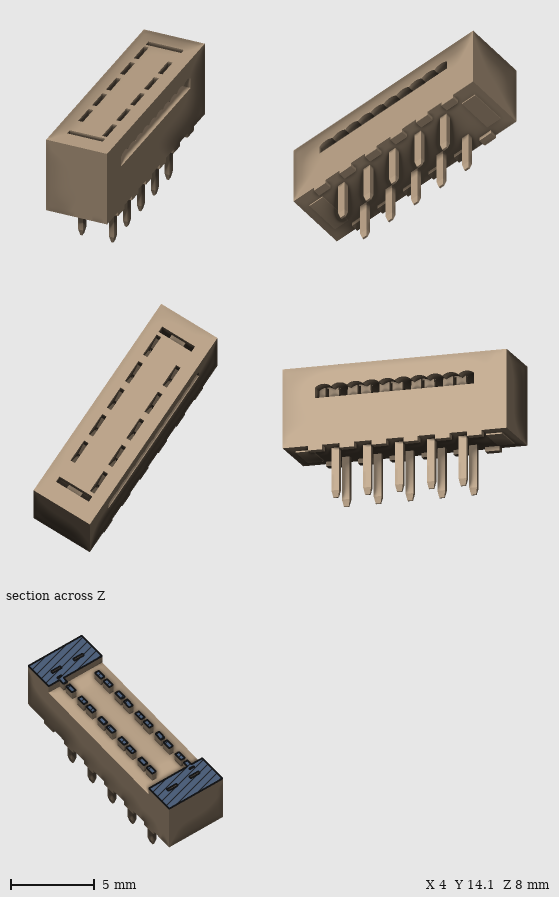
import cadquery as cq

overall_height = 8.0
body_thickness = 4.0
body_length = 14.1
body_height = 4.92

wire_pitch = 1.0
wire_count = 10
pins_per_row = wire_count // 2
pin_pitch = 2 * wire_pitch
row_offset = 1.02

window_floor = body_height - 1.97
window_crown = body_height - 1.13
arch_rise = 0.18
window_length = wire_count * wire_pitch

contact_thickness = 0.31
slot_length = 1.51
tine_gap = 0.21
tine_tip_half_width = 0.66
tine_tip_height = body_height - 0.42
lead_in_depth = 0.4

pin_width = 0.5
pin_thickness = contact_thickness
pin_length = overall_height - body_height
tip_length = 0.42
tip_width = 0.31
tip_thickness = 0.13

foot_width = 0.9
foot_depth = 0.5
foot_height = 0.28
foot_count = pins_per_row + 1

latch_width = 2 * row_offset + contact_thickness
latch_slot_length = 0.4
latch_slot_center = 5.67
latch_crown_width = 0.97
latch_crown_height = body_height - 0.42
latch_ramp_height = 1.5
latch_slot_floor = latch_crown_height - latch_ramp_height
latch_pad_outer = 6.5
latch_pad_height = 0.08


def centered_positions(count, pitch):
    """Places of evenly spaced items, centred on zero."""
    return [(i - (count - 1) / 2) * pitch for i in range(count)]


def box(size_x, size_y, z_low, z_high, x=0, y=0):
    """Upright block centred on (x, y) between two heights."""
    block = cq.Workplane("XY").box(size_x, size_y, z_high - z_low, centered=(True, True, False))
    return block.translate((x, y, z_low))


def contact_plate(outline, x):
    """Contact-thick plate with its closed YZ outline, centred at x."""
    sketch = cq.Workplane("YZ").polyline(outline).close()
    return sketch.extrude(contact_thickness / 2, both=True).translate((x, 0, 0))


def wire_window():
    spring = window_crown - arch_rise
    outline = cq.Workplane("YZ").moveTo(-window_length / 2, window_floor)
    outline = outline.lineTo(-window_length / 2, spring)
    for y in centered_positions(wire_count, wire_pitch):
        outline = outline.threePointArc((y, window_crown), (y + wire_pitch / 2, spring))
    outline = outline.lineTo(window_length / 2, window_floor).close()
    return outline.extrude(body_thickness, both=True)


def tine(x, y, side):
    """One contact tine with a sloped lead-in; side is +1 or -1 along Y."""
    gap_edge = y + side * tine_gap / 2
    tip = y + side * tine_tip_half_width
    root = y + side * slot_length / 2
    outline = [
        (gap_edge, window_floor),
        (gap_edge, tine_tip_height - lead_in_depth),
        (tip, tine_tip_height),
        (root, window_floor),
    ]
    return contact_plate(outline, x)


def solder_pin(x, y):
    shank = box(pin_thickness, pin_width, tip_length - pin_length, 0, x, y)
    tip = (
        cq.Workplane("XY", origin=(x, y, tip_length - pin_length))
        .rect(pin_thickness, pin_width)
        .workplane(offset=-tip_length)
        .rect(tip_thickness, tip_width)
        .loft(combine=True)
    )
    return shank.union(tip)


def latch_insert(end):
    """Latch top: a flat crown between two steep ramps that fall towards the housing end."""
    inner = end * (latch_slot_center - latch_slot_length / 2)
    outer = end * (latch_slot_center + latch_slot_length / 2)
    ramp_outline = [
        (inner, latch_slot_floor),
        (inner, latch_crown_height),
        (outer, latch_slot_floor),
    ]
    ramps = cq.Workplane("YZ").polyline(ramp_outline).close().extrude(latch_width / 2, both=True)
    crown = box(
        latch_crown_width,
        latch_slot_length,
        latch_slot_floor,
        latch_crown_height,
        y=end * latch_slot_center,
    )
    return ramps.union(crown)


result = box(body_thickness, body_length, 0, body_height).cut(wire_window())

for row in (-1, 1):
    row_x = row * row_offset
    for pin_y in centered_positions(pins_per_row, pin_pitch):
        contact_y = pin_y - row * wire_pitch / 2
        result = result.cut(box(contact_thickness, slot_length, window_floor, body_height, row_x, contact_y))
        for tine_side in (-1, 1):
            result = result.union(tine(row_x, contact_y, tine_side))
        result = result.union(solder_pin(row_x, pin_y))

for edge in (-1, 1):
    foot_x = edge * (body_thickness - foot_depth) / 2
    for foot_y in centered_positions(foot_count, pin_pitch):
        result = result.union(box(foot_depth, foot_width, -foot_height, 0, foot_x, foot_y))

latch_pad_length = latch_pad_outer - (latch_slot_center - latch_slot_length / 2)
latch_pad_center = latch_pad_outer - latch_pad_length / 2
for end in (-1, 1):
    latch_y = end * latch_slot_center
    result = result.cut(box(latch_width, latch_slot_length, latch_slot_floor, body_height, 0, latch_y))
    result = result.union(latch_insert(end))
    result = result.union(
        box(latch_width, latch_pad_length, -latch_pad_height, 0, 0, end * latch_pad_center)
    )